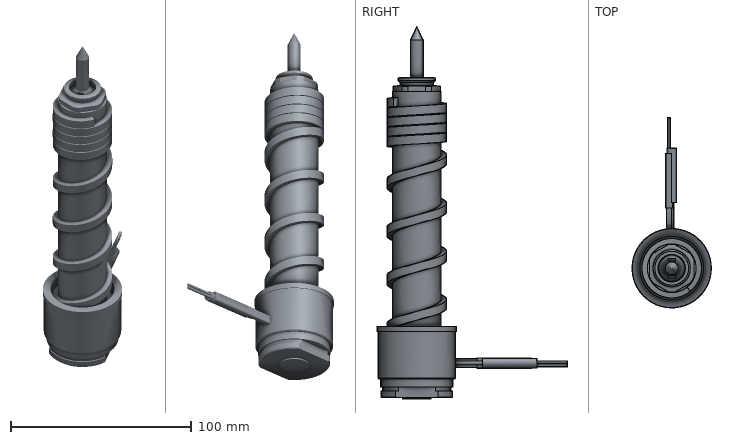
import cadquery as cq

collar_radius = 21.5
collar_rim_radius = 22.0
collar_top = 40.1
collar_rim_height = 2.9
collar_bottom = 10.9
collar_edge_chamfer = 0.6
collar_step_radius = 20.0
collar_step_bottom = 6.6
foot_groove_radius = 19.0
foot_groove_bottom = 4.3
foot_radius = 19.85
foot_chamfer = 0.5
foot_width_across_flats = 32.0
foot_pad_radius = 8.0
foot_pad_height = 0.6
spring_pocket_radius = 17.7

tube_radius = 13.5
tube_top = 170.3
hex_across_flats = 24.6
hex_corner_radius = 13.2
hex_top = 173.8
hex_rim_top = 173.3
neck_radius = 9.3
neck_top = 175.4
lip_bottom = 176.5
lip_radius = 10.3
lip_top = 178.2
lip_chamfer_width = 0.9
lip_chamfer_height = 0.4
bore_radius = 7.6
bore_depth = 4.0

pin_radius = 3.6
pin_tip_radius = 3.25
pin_shoulder_bottom = 198.9
pin_shoulder_top = 199.5
pin_tip = 206.3
pin_skirt_top = 177.8
pin_notch_width = 4.2
pin_notch_inner = 4.0
pin_notch_outer = 5.3
pin_skirt_radius = 7.3

spring_outer_radius = 16.5
spring_embedment = 0.5
spring_inner_radius = tube_radius - spring_embedment
spring_wire_height = 4.9
spring_top_angle = 309.0
spring_top_centre = 164.6
closed_pitch = 5.4
open_pitch = 26.7
upper_closed_turns = 4.284
open_turns = 4.05
lower_closed_turns = 1.0

cable_height = 19.75
flat_cable_x = -1.5
flat_cable_width = 3.0
flat_cable_depth = 5.0
flat_cable_fillet = 0.6
flat_sleeve_width = 3.8
flat_sleeve_depth = 5.8
flat_sleeve_fillet = 1.1
flat_sleeve_start = 33.4
flat_sleeve_end = 63.6
round_cable_radius = 1.15
round_sleeve_radius = 2.7
round_sleeve_start = 36.4
round_sleeve_end = 66.6
wire_radius = 0.8
wire_offset = 0.85
wire_end = 83.5
wire_centre_height = 19.4
cable_root = 19.0


def revolve_profile(points):
    """Solid of revolution about Z from (radius, height) points."""
    return cq.Workplane("XZ").polyline(points).close().revolve(360, (0, 0), (0, 1))


def disc(radius, bottom, top):
    """Cylinder on Z between two heights."""
    return cq.Workplane("XY").workplane(offset=bottom).circle(radius).extrude(top - bottom)


def spring_segment(bottom_angle, bottom_centre, pitch, turns):
    """Helical stretch of flat wire that starts at the given angle and height."""
    middle_radius = (spring_inner_radius + spring_outer_radius) / 2
    wire_width = spring_outer_radius - spring_inner_radius
    path = cq.Wire.makeHelix(pitch, pitch * turns, middle_radius)
    stretch = (
        cq.Workplane("XZ")
        .center(middle_radius, 0)
        .rect(wire_width, spring_wire_height)
        .sweep(cq.Workplane(obj=path), isFrenet=True)
    )
    return stretch.rotate((0, 0, 0), (0, 0, 1), bottom_angle).translate((0, 0, bottom_centre))


def spring_stretches():
    """Closed, open and closed stretches, from the top down, and the height of the lowest wire edge."""
    angle = spring_top_angle
    centre = spring_top_centre
    stretches = []
    for pitch, turns in (
        (closed_pitch, upper_closed_turns),
        (open_pitch, open_turns),
        (closed_pitch, lower_closed_turns),
    ):
        angle -= 360 * turns
        centre -= pitch * turns
        stretches.append(spring_segment(angle, centre, pitch, turns))
    return stretches, centre - spring_wire_height / 2


def make_collar(pocket_floor):
    """Flatted foot below a rimmed barrel that has a pocket for the spring."""
    body = revolve_profile([
        (0, foot_pad_height),
        (foot_radius - foot_chamfer, foot_pad_height),
        (foot_radius, foot_pad_height + foot_chamfer),
        (foot_radius, foot_groove_bottom),
        (foot_groove_radius, foot_groove_bottom),
        (foot_groove_radius, collar_step_bottom),
        (0, collar_step_bottom),
    ])
    flats = cq.Workplane("XY").box(
        foot_width_across_flats, 2 * foot_radius, 2 * collar_step_bottom
    )
    foot = body.intersect(flats).union(disc(foot_pad_radius, 0, collar_step_bottom))
    rim_bottom = collar_top - collar_rim_height
    barrel = revolve_profile([
        (0, collar_step_bottom),
        (collar_step_radius, collar_step_bottom),
        (collar_step_radius, collar_bottom),
        (collar_radius - collar_edge_chamfer, collar_bottom),
        (collar_radius, collar_bottom + collar_edge_chamfer),
        (collar_radius, rim_bottom),
        (collar_rim_radius, rim_bottom),
        (collar_rim_radius, collar_top),
        (spring_pocket_radius, collar_top),
        (spring_pocket_radius, pocket_floor),
        (0, pocket_floor),
    ])
    return foot.union(barrel)


def make_hexagon():
    """Hexagon with flats facing X, its corners rounded and its top sloping outward."""
    prism = (
        cq.Workplane("XY").workplane(offset=tube_top)
        .polygon(6, hex_across_flats, circumscribed=True)
        .extrude(hex_top - tube_top)
    )
    turned_blank = revolve_profile([
        (0, tube_top),
        (hex_corner_radius, tube_top),
        (hex_corner_radius, hex_rim_top),
        (neck_radius, hex_top),
        (0, hex_top),
    ])
    return prism.intersect(turned_blank)


def make_neck():
    """Grooved neck with a lipped bore, and the notched skirt of the pin standing in it."""
    bore_floor = lip_top - bore_depth
    neck = revolve_profile([
        (0, hex_top),
        (neck_radius, hex_top),
        (neck_radius, neck_top),
        (lip_radius, lip_bottom),
        (lip_radius, lip_top - lip_chamfer_height),
        (lip_radius - lip_chamfer_width, lip_top),
        (bore_radius, lip_top),
        (bore_radius, bore_floor),
        (pin_skirt_radius, bore_floor),
        (pin_radius, pin_skirt_top),
        (0, pin_skirt_top),
    ])
    notch_length = pin_notch_outer - pin_notch_inner
    for side in (-1, 1):
        notch_centre = side * (pin_notch_inner + pin_notch_outer) / 2
        notch = (
            cq.Workplane("XY", origin=(0, notch_centre, bore_floor))
            .rect(pin_notch_width, notch_length)
            .extrude(bore_depth)
        )
        neck = neck.cut(notch)
    return neck


def make_pin():
    """Round pin with a conical point."""
    return revolve_profile([
        (0, hex_top),
        (pin_radius, hex_top),
        (pin_radius, pin_shoulder_bottom),
        (pin_tip_radius, pin_shoulder_top),
        (0, pin_tip),
    ])


def rod_along_y(x, z, radius, start, end):
    return cq.Workplane("XZ", origin=(x, start, z)).circle(radius).extrude(start - end)


def flat_bar_along_y(width, depth, fillet, start, end):
    """Round-edged bar centred on the flat cable."""
    return (
        cq.Workplane("XZ", origin=(flat_cable_x, start, cable_height))
        .rect(width, depth)
        .extrude(start - end)
        .edges("|Y").fillet(fillet)
    )


def make_cables():
    """Flat and round cables with their sleeves, and two bare wires at the end."""
    cables = flat_bar_along_y(
        flat_cable_width, flat_cable_depth, flat_cable_fillet, cable_root, flat_sleeve_end
    )
    cables = cables.union(flat_bar_along_y(
        flat_sleeve_width, flat_sleeve_depth, flat_sleeve_fillet, flat_sleeve_start, flat_sleeve_end
    ))
    cables = cables.union(rod_along_y(0, cable_height, round_cable_radius, cable_root, round_sleeve_end))
    cables = cables.union(
        rod_along_y(0, cable_height, round_sleeve_radius, round_sleeve_start, round_sleeve_end)
    )
    for side in (-1, 1):
        wire_height = wire_centre_height + side * wire_offset
        cables = cables.union(
            rod_along_y(flat_cable_x, wire_height, wire_radius, flat_sleeve_end, wire_end)
        )
    return cables


stretches, pocket_floor = spring_stretches()
result = disc(tube_radius, pocket_floor, tube_top)
for stretch in stretches:
    result = result.union(stretch)
result = result.union(make_collar(pocket_floor))
result = result.union(make_hexagon())
result = result.union(make_neck())
result = result.union(make_pin())
result = result.union(make_cables())